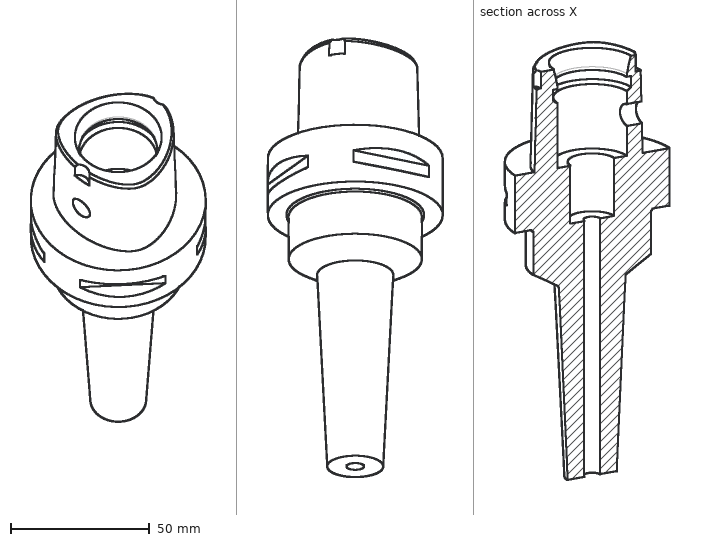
import cadquery as cq
import math

total_height = 158.0
shank_length = 37.9
flange_height = 22.1
collar_bottom = 80.7
nose_top = 74.5
flange_top = total_height - shank_length
flange_bottom = flange_top - flange_height

flange_radius = 31.52
collar_radius = 24.0
collar_relief = 0.8
nose_top_radius = 13.7
nose_tip_radius = 10.1

shank_base_radius = 22.1
lobe_height = 1.5
shank_taper = 1 / 40
shank_chamfer_height = 1.5
shank_chamfer_inset = 0.8
outline_points = 48

mouth_radius = 15.6
bore_radius = 14.0
mouth_depth = 6.6
groove_radius = 15.8
groove_start = 7.9
groove_end = 12.0
groove_ramp_end = 13.3
bore_depth = shank_length
pocket_radius = 8.8
pocket_depth = bore_depth + flange_height
coolant_radius = 3.2

notch_radius = 4.1
notch_depth = 6.3
front_notch_bottom = 17.7
rear_notch_bottom = 21.0
side_hole_radius = 4.1
side_hole_height = 135.5

gripper_height = 107.9
gripper_floor_distance = 27.5
gripper_floor_width = 4.5
gripper_mouth_width = 7.7
gripper_count = 4


def lobed_outline(mean_radius, height):
    """Constant-width curve with three lobes, as a closed wire at the given height."""
    points = []
    for i in range(outline_points):
        angle = 2 * math.pi * i / outline_points
        lobe_angle = 3 * (angle - math.pi / 2)
        support = mean_radius + lobe_height * math.cos(lobe_angle)
        slope = -3 * lobe_height * math.sin(lobe_angle)
        x = support * math.cos(angle) - slope * math.sin(angle)
        y = support * math.sin(angle) + slope * math.cos(angle)
        points.append(cq.Vector(x, y, height))
    return cq.Wire.assembleEdges([cq.Edge.makeSpline(points, periodic=True)])


def make_shank():
    chamfer_base = total_height - shank_chamfer_height
    shoulder_radius = shank_base_radius - shank_taper * (shank_length - shank_chamfer_height)
    base = lobed_outline(shank_base_radius, flange_top)
    shoulder = lobed_outline(shoulder_radius, chamfer_base)
    end = lobed_outline(shoulder_radius - shank_chamfer_inset, total_height)
    taper = cq.Solid.makeLoft([base, shoulder], True)
    chamfer = cq.Solid.makeLoft([shoulder, end], True)
    return cq.Workplane(taper).union(cq.Workplane(chamfer))


def revolve_profile(points):
    """Revolve a closed (radius, height) profile about Z."""
    return cq.Workplane("XZ").polyline(points).close().revolve(360, (0, 0, 0), (0, 1, 0))


def make_body():
    return revolve_profile([
        (0, 0),
        (nose_tip_radius, 0),
        (nose_top_radius, nose_top),
        (collar_radius, collar_bottom),
        (collar_radius, flange_bottom - collar_relief),
        (collar_radius + collar_relief, flange_bottom),
        (flange_radius, flange_bottom),
        (flange_radius, flange_top),
        (0, flange_top),
    ])


def make_bore():
    steps = [
        (mouth_radius, 0),
        (bore_radius, mouth_depth),
        (bore_radius, groove_start),
        (groove_radius, groove_start),
        (groove_radius, groove_end),
        (bore_radius, groove_ramp_end),
        (bore_radius, bore_depth),
        (pocket_radius, bore_depth),
        (pocket_radius, pocket_depth),
        (coolant_radius, pocket_depth),
        (coolant_radius, total_height),
    ]
    wall = [(radius, total_height - depth) for radius, depth in steps]
    return revolve_profile([(0, total_height)] + wall + [(0, 0)])


def make_notch(floor_distance, direction):
    """Round-backed notch cut down from the shank end and open outward."""
    axis_distance = floor_distance + notch_radius
    notch_base = total_height - notch_depth
    rounded_back = (
        cq.Workplane("XY", origin=(axis_distance, 0, notch_base))
        .circle(notch_radius)
        .extrude(notch_depth)
    )
    open_side = (
        cq.Workplane("XY", origin=(axis_distance, 0, notch_base))
        .rect(2 * notch_radius, 2 * notch_radius)
        .extrude(notch_depth)
        .translate((notch_radius, 0, 0))
    )
    return rounded_back.union(open_side).rotate((0, 0, 0), (0, 0, 1), direction)


def make_side_hole():
    """Radial hole from the -Y face of the shank into the bore."""
    return (
        cq.Workplane("XZ", origin=(0, 0, side_hole_height))
        .circle(side_hole_radius)
        .extrude(flange_radius)
    )


def make_gripper_groove(direction):
    """Flat-bottomed groove with sloped flanks, tangent to the flange."""
    half_floor = gripper_floor_width / 2
    half_mouth = gripper_mouth_width / 2
    return (
        cq.Workplane("XZ")
        .polyline([
            (gripper_floor_distance, gripper_height - half_floor),
            (flange_radius, gripper_height - half_mouth),
            (flange_radius, gripper_height + half_mouth),
            (gripper_floor_distance, gripper_height + half_floor),
        ])
        .close()
        .extrude(flange_radius, both=True)
        .rotate((0, 0, 0), (0, 0, 1), direction)
    )


result = make_body().union(make_shank()).cut(make_bore()).cut(make_side_hole())
result = result.cut(make_notch(front_notch_bottom, -90))
result = result.cut(make_notch(rear_notch_bottom, 90))
for i in range(gripper_count):
    result = result.cut(make_gripper_groove(45 + i * 360 / gripper_count))